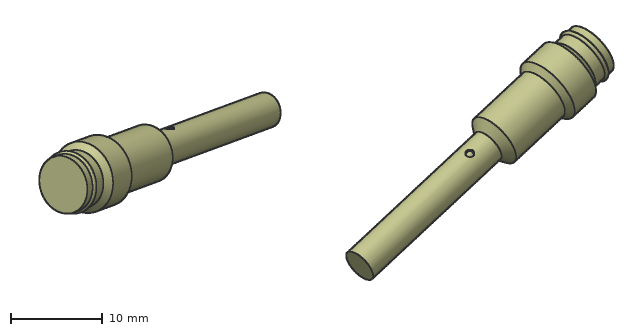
import cadquery as cq

total_length = 38.0
ring_position = 1.25
collar_start = 3.0
collar_end = 8.0
shoulder_start = 16.0
shoulder_length = 1.0
hole_position = 20.0

collar_radius = 8.0 / 2
body_radius = 6.5 / 2
stem_radius = 4.0 / 2
ring_section_radius = 0.25
hole_radius = 0.5

collar_chamfer = collar_radius - body_radius
ball_center_height = stem_radius - hole_radius
shoulder_end = shoulder_start + shoulder_length


def make_body():
    """Turned body: X is the radius and Y runs along the axis."""
    return (
        cq.Workplane("XY")
        .lineTo(body_radius, 0)
        .lineTo(body_radius, ring_position - ring_section_radius)
        .threePointArc(
            (body_radius + ring_section_radius, ring_position),
            (body_radius, ring_position + ring_section_radius),
        )
        .lineTo(body_radius, collar_start)
        .lineTo(collar_radius, collar_start + collar_chamfer)
        .lineTo(collar_radius, collar_end - collar_chamfer)
        .lineTo(body_radius, collar_end)
        .lineTo(body_radius, shoulder_start)
        .lineTo(stem_radius, shoulder_end)
        .lineTo(stem_radius, total_length)
        .lineTo(0, total_length)
        .close()
        .revolve(360, (0, 0, 0), (0, 1, 0))
    )


def make_hole_cutter():
    """Round pocket from the top of the stem down to the middle of its ball-shaped floor."""
    return (
        cq.Workplane("XY", origin=(0, hole_position, ball_center_height))
        .circle(hole_radius)
        .extrude(stem_radius)
    )


def make_ball():
    """Ball filling the pocket floor, with its crest level with the top line of the stem."""
    return cq.Workplane("XY").sphere(hole_radius).translate((0, hole_position, ball_center_height))


result = make_body().cut(make_hole_cutter()).union(make_ball())